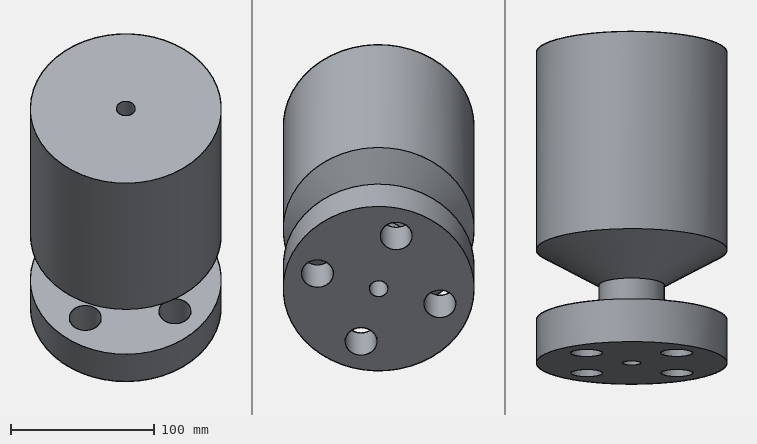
import cadquery as cq

total_height = 222.2
body_diameter = 133.4

flange_diameter = body_diameter
flange_height = 30.7

neck_diameter = 45.8
neck_top = 55.5

cone_top = 81.0

bore_diameter = 13.0

bolt_hole_diameter = 22.2
bolt_circle_diameter = 89.0
bolt_count = 4


def revolved_outer_shape():
    """Flange, neck, cone and cylindrical body as one revolved solid."""
    return (
        cq.Workplane("XZ")
        .moveTo(0, 0)
        .lineTo(flange_diameter / 2, 0)
        .lineTo(flange_diameter / 2, flange_height)
        .lineTo(neck_diameter / 2, flange_height)
        .lineTo(neck_diameter / 2, neck_top)
        .lineTo(body_diameter / 2, cone_top)
        .lineTo(body_diameter / 2, total_height)
        .lineTo(0, total_height)
        .close()
        .revolve(360, (0, 0, 0), (0, 1, 0))
    )


def axial_bore():
    """Cutter for the hole that runs the full height on the axis."""
    return cq.Workplane("XY").circle(bore_diameter / 2).extrude(total_height)


def bolt_holes():
    """Cutters for the ring of holes through the flange."""
    return (
        cq.Workplane("XY")
        .polarArray(bolt_circle_diameter / 2, 0, 360, bolt_count)
        .circle(bolt_hole_diameter / 2)
        .extrude(flange_height)
    )


result = revolved_outer_shape().cut(axial_bore()).cut(bolt_holes())